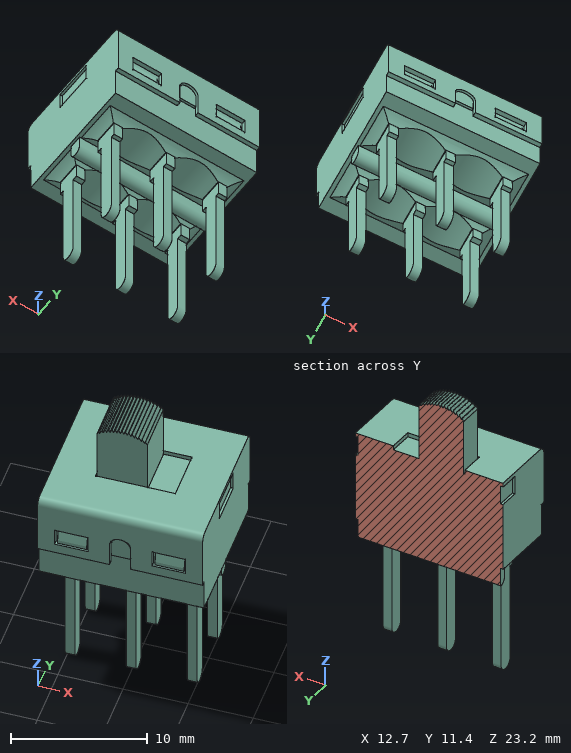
import cadquery as cq
import math

length = 12.7
cover_width = 11.45
cover_top = 7.6
cover_thickness = 0.35
cover_bottom = 2.65
cover_radius = 0.58
cover_inner_radius = 0.12
base_width = cover_width - 2 * cover_thickness
base_top = cover_top - cover_thickness

top_opening_length = 6.14
top_opening_width = 4.0
window_length = 2.55
window_bottom = 3.49
window_height = 1.42
window_spacing = 7.49
notch_width = 1.63
notch_top = 5.42

catch_length = 2.25
catch_rise = 1.0
catch_lip = 0.28
catch_depth = 0.19
pad_gap = 0.07
pad_depth = 0.19
recess_width = 3.3
recess_bottom = 5.72
recess_depth = 0.2
rib_length = 12.28
rib_width = 1.07
rib_depth = 1.53

actuator_size = 3.85
actuator_offset = -1.05
actuator_top = 12.7
tooth_count = 15
tooth_height = 0.25
tip_pitch = 0.25
tip_arc_radius = 3.07
valley_spread = 0.012
valley_pitch = tip_pitch + valley_spread
valley_arc_radius = 3.49
crown_shoulder = 11.85

pin_tip = -10.55
pin_thickness = 0.77
pin_width = 1.28
pin_pitch = 4.7
pin_row_y = 2.42
shoulder_width = 2.05
shoulder_row_y = 2.37
shoulder_depth = 1.88

seal_depth = 0.55
seal_saddle_depth = 0.16
seal_crest_half_length = 0.42
seal_end_reach = 1.3
seal_crest_half_width = 1.0
seal_half_width = 1.84
seal_curve_depth = 0.25
seal_curve_position = 0.41


def box(size_x, size_y, bottom, top, x=0, y=0):
    """Upright block centred on (x, y) between two heights."""
    return (
        cq.Workplane("XY", origin=(x, y, bottom))
        .box(size_x, size_y, top - bottom, centered=(True, True, False))
    )


def arch(width, bottom, top, depth):
    """Round-topped block in XZ, centred on Y = 0 with the given total depth."""
    radius = width / 2
    return (
        cq.Workplane("XZ")
        .moveTo(-radius, bottom)
        .lineTo(-radius, top - radius)
        .threePointArc((0, top), (radius, top - radius))
        .lineTo(radius, bottom)
        .close()
        .extrude(depth / 2, both=True)
    )


def round_tongue(thickness, width, depth, x=0, y=0):
    """Tongue hanging from Z = 0 with a fully rounded lower end in YZ."""
    radius = width / 2
    return (
        cq.Workplane("YZ", origin=(x, y, 0))
        .moveTo(-radius, 0)
        .lineTo(-radius, radius - depth)
        .threePointArc((0, -depth), (radius, radius - depth))
        .lineTo(radius, 0)
        .close()
        .extrude(thickness / 2, both=True)
    )


def make_catch(x, side):
    """Wedge on the base wall that snaps into a cover window."""
    wall = side * base_width / 2
    face = wall + side * catch_depth
    return (
        cq.Workplane("YZ", origin=(x, 0, window_bottom))
        .polyline([(wall, 0), (face, 0), (face, catch_lip), (wall, catch_rise)])
        .close()
        .extrude(catch_length / 2, both=True)
    )


def make_base():
    base = box(length, base_width, 0, base_top).edges("|X and >Z").fillet(cover_inner_radius)
    for side in (-1, 1):
        recess_x = side * (length - recess_depth) / 2
        base = base.cut(box(recess_depth, recess_width, recess_bottom, base_top, x=recess_x))
    base = base.union(
        arch(notch_width - 2 * pad_gap, window_bottom, notch_top - pad_gap, base_width + 2 * pad_depth)
    )
    for x in (-window_spacing / 2, window_spacing / 2):
        for side in (-1, 1):
            base = base.union(make_catch(x, side))
    return base.union(round_tongue(rib_length, rib_width, rib_depth))


def make_cover():
    cover = box(length, cover_width, cover_bottom, cover_top).edges("|X and >Z").fillet(cover_radius)
    cavity = box(length, base_width, cover_bottom, base_top)
    cover = cover.cut(cavity.edges("|X and >Z").fillet(cover_inner_radius))
    cover = cover.cut(box(top_opening_length, top_opening_width, base_top, cover_top))
    cover = cover.cut(arch(notch_width, cover_bottom, notch_top, cover_width))
    window_top = window_bottom + window_height
    for x in (-window_spacing / 2, window_spacing / 2):
        cover = cover.cut(box(window_length, cover_width, window_bottom, window_top, x=x))
    return cover


def crown_height(x, top, radius):
    """Height at x of an arc that peaks at the given top over x = 0."""
    return top - radius + math.sqrt(radius**2 - x**2)


def make_actuator():
    """Block with a toothed crown; the wider valley pitch makes the teeth lean inwards."""
    half = actuator_size / 2
    outline = [(-half, base_top), (-half, crown_shoulder)]
    for tooth in range(tooth_count):
        steps_from_center = tooth - (tooth_count - 1) / 2
        tip_x = steps_from_center * tip_pitch
        outline.append((tip_x, crown_height(tip_x, actuator_top, tip_arc_radius)))
        if tooth < tooth_count - 1:
            valley_x = (steps_from_center + 0.5) * valley_pitch
            valley_top = actuator_top - tooth_height
            outline.append((valley_x, crown_height(valley_x, valley_top, valley_arc_radius)))
    outline += [(half, crown_shoulder), (half, base_top)]
    return (
        cq.Workplane("XZ", origin=(actuator_offset, 0, 0))
        .polyline(outline)
        .close()
        .extrude(half, both=True)
    )


def make_pin(x, side):
    pin = round_tongue(pin_thickness, pin_width, -pin_tip, x, side * pin_row_y)
    shoulder = box(pin_thickness, shoulder_width, -shoulder_depth, 0, x, side * shoulder_row_y)
    return pin.union(shoulder)


def curve_point(crest, edge):
    """Middle point, along the outline, of the hollow flank between crest and edge."""
    return (crest + (edge - crest) * seal_curve_position, -seal_curve_depth)


def make_seal(row_y):
    """Hollow-flanked ridge with a crest at each pin, shaped in both XZ and YZ."""
    crest_x = pin_pitch + seal_crest_half_length
    end_x = pin_pitch + seal_end_reach
    inner_x = pin_pitch - seal_crest_half_length
    along_row = (
        cq.Workplane("XZ", origin=(0, row_y, 0))
        .moveTo(-end_x, 0)
        .threePointArc(curve_point(-crest_x, -end_x), (-crest_x, -seal_depth))
        .lineTo(-inner_x, -seal_depth)
        .threePointArc((-pin_pitch / 2, -seal_saddle_depth), (-seal_crest_half_length, -seal_depth))
        .lineTo(seal_crest_half_length, -seal_depth)
        .threePointArc((pin_pitch / 2, -seal_saddle_depth), (inner_x, -seal_depth))
        .lineTo(crest_x, -seal_depth)
        .threePointArc(curve_point(crest_x, end_x), (end_x, 0))
        .close()
        .extrude(seal_half_width, both=True)
    )
    across_row = (
        cq.Workplane("YZ", origin=(0, row_y, 0))
        .moveTo(-seal_half_width, 0)
        .threePointArc(
            curve_point(-seal_crest_half_width, -seal_half_width), (-seal_crest_half_width, -seal_depth)
        )
        .lineTo(seal_crest_half_width, -seal_depth)
        .threePointArc(curve_point(seal_crest_half_width, seal_half_width), (seal_half_width, 0))
        .close()
        .extrude(end_x, both=True)
    )
    return along_row.intersect(across_row)


result = make_base().union(make_cover()).union(make_actuator())
for row_side in (-1, 1):
    result = result.union(make_seal(row_side * shoulder_row_y))
    for pin_x in (-pin_pitch, 0, pin_pitch):
        result = result.union(make_pin(pin_x, row_side))